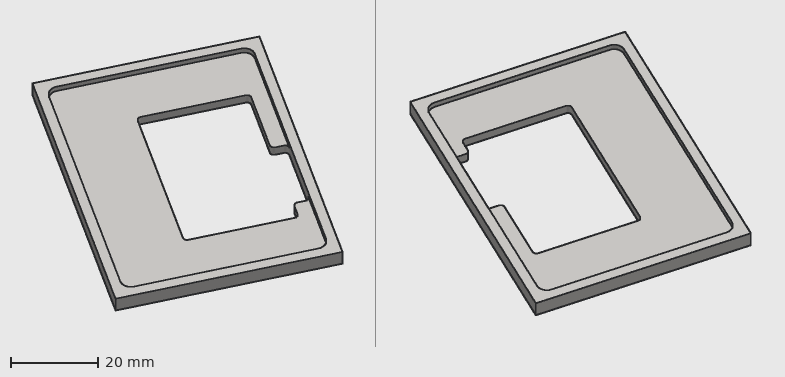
import cadquery as cq

plate_length = 70.0
plate_width = 54.0
plate_thickness = 4.0

rim_width = 2.5
recess_depth = 1.5
recess_corner_radius = 2.5

window_left = -19.45
window_right = 20.45
window_front = -6.6
window_back_left = 20.4
window_back_right = 20.65
notch_left = -1.95
notch_right = 15.95
notch_back = plate_width / 2 - rim_width
window_corner_radius = 1.0


def make_plate():
    return cq.Workplane("XY").box(
        plate_length, plate_width, plate_thickness, centered=(True, True, False)
    )


def make_recess():
    return (
        cq.Workplane("XY")
        .workplane(offset=plate_thickness - recess_depth)
        .rect(plate_length - 2 * rim_width, plate_width - 2 * rim_width)
        .extrude(recess_depth)
        .edges("|Z")
        .fillet(recess_corner_radius)
    )


def make_window():
    outline = [
        (window_left, window_front),
        (window_right, window_front),
        (window_right, window_back_right),
        (notch_right, window_back_right),
        (notch_right, notch_back),
        (notch_left, notch_back),
        (notch_left, window_back_left),
        (window_left, window_back_left),
    ]
    return (
        cq.Workplane("XY")
        .polyline(outline)
        .close()
        .extrude(plate_thickness)
        .edges("|Z")
        .fillet(window_corner_radius)
    )


result = make_plate().cut(make_recess()).cut(make_window())